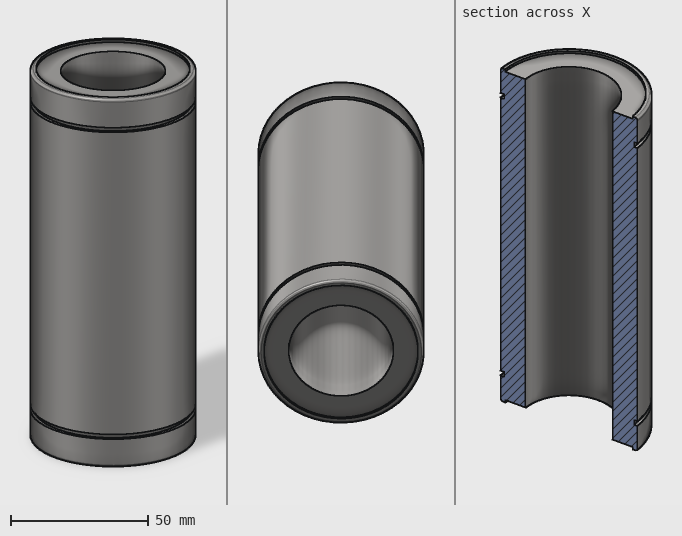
import cadquery as cq

length = 144.5
outer_diameter = 60.4
bore_diameter = 38.1

edge_radius = 1.0
recess_diameter = 56.0
recess_depth = 1.0

groove_offset = 11.1
groove_width = 1.9
groove_depth = 1.5


def cylinder(diameter, bottom, height):
    """Solid cylinder on the Z axis, starting at height bottom."""
    return cq.Workplane("XY").workplane(offset=bottom).circle(diameter / 2).extrude(height)


def groove(bottom):
    """Ring of material to remove from the outer wall."""
    floor_diameter = outer_diameter - 2 * groove_depth
    return cylinder(outer_diameter, bottom, groove_width).cut(
        cylinder(floor_diameter, bottom, groove_width)
    )


body = cylinder(outer_diameter, -length / 2, length)
body = body.faces("<Z or >Z").edges().fillet(edge_radius)
result = body.cut(cylinder(bore_diameter, -length / 2, length))

for recess_bottom in (-length / 2, length / 2 - recess_depth):
    result = result.cut(cylinder(recess_diameter, recess_bottom, recess_depth))

for groove_bottom in (
    -length / 2 + groove_offset,
    length / 2 - groove_offset - groove_width,
):
    result = result.cut(groove(groove_bottom))